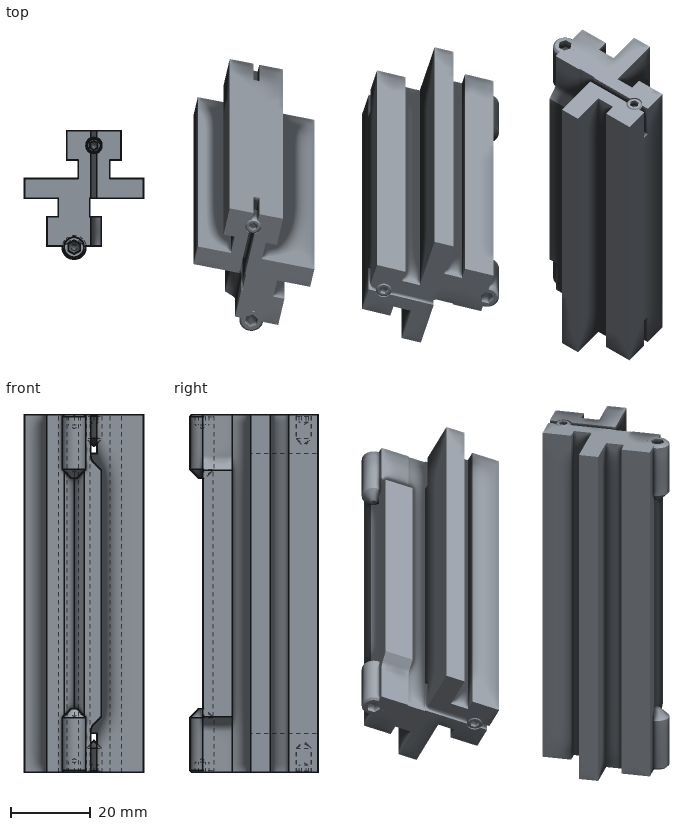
import cadquery as cq
import math

length = 90.0
half_length = length / 2
plate_width = 30.0
plate_thickness = 5.0
rib_offset = 2.5
neck_width = 8.0
neck_height = 4.6
head_width = 13.7
head_thickness = 7.4
plate_face = plate_thickness / 2
head_inner = plate_face + neck_height
head_outer = head_inner + head_thickness

slit_width = 1.5
slit_depth = 9.8
slit_wall = rib_offset - slit_width / 2

relief_depth = 14.0
relief_corner_radius = 2.5
front_head_side = head_width / 2 - rib_offset

groove_depth = 2.5

large_screw = {"diameter": 6.0, "length": 16.0, "tip": 1.5, "chamfer": 0.5, "key": 3.0, "socket": 3.5}
small_screw = {"diameter": 4.0, "length": 8.0, "tip": 0.0, "chamfer": 0.4, "key": 2.0, "socket": 2.5}
socket_point_angle = 120.0
large_screw_stand_off = 0.3
small_screw_inset = 3.7
large_screw_x = -rib_offset
large_screw_y = -head_outer - large_screw_stand_off
small_screw_x = rib_offset
small_screw_y = head_outer - small_screw_inset


def at_both_ends(shape):
    """Return the shape made for the upper end, and its mirror image at the lower end."""
    return [shape, shape.mirror("XY")]


def block(width, x_center, y_start, y_end):
    """Full-length bar of the rail section."""
    return (
        cq.Workplane("XY")
        .center(x_center, (y_start + y_end) / 2)
        .rect(width, abs(y_end - y_start))
        .extrude(half_length, both=True)
    )


def make_relief():
    """Clearance in the front head: flat wall, rounded corner and 45 degree run-out."""
    half_turn = math.radians(45) / 2
    run_out_z = half_length - relief_depth
    corner_z = run_out_z + (front_head_side - slit_wall)
    corner_setback = relief_corner_radius * math.tan(half_turn)
    slope_setback = corner_setback * math.cos(2 * half_turn)
    arc_center_x = slit_wall + relief_corner_radius
    arc_start_z = corner_z + corner_setback
    arc_mid = (
        arc_center_x - relief_corner_radius * math.cos(half_turn),
        arc_start_z - relief_corner_radius * math.sin(half_turn),
    )
    arc_end = (slit_wall + slope_setback, corner_z - slope_setback)
    return (
        cq.Workplane("XZ", origin=(0, -head_inner, 0))
        .moveTo(slit_wall, half_length)
        .lineTo(slit_wall, arc_start_z)
        .threePointArc(arc_mid, arc_end)
        .lineTo(front_head_side, run_out_z)
        .lineTo(front_head_side, half_length)
        .close()
        .extrude(head_thickness)
    )


def make_slit():
    return (
        cq.Workplane("XY", origin=(rib_offset, (head_outer - plate_face) / 2, half_length - slit_depth))
        .rect(slit_width, head_outer + plate_face)
        .extrude(slit_depth)
    )


def make_groove():
    return (
        cq.Workplane("XY", origin=(-rib_offset, -head_outer, -half_length))
        .polyline([(-groove_depth, 0), (0, groove_depth), (groove_depth, 0)])
        .close()
        .extrude(length)
    )


def screw_shape(screw, x, y, chamfer):
    """Screw body flush with the upper end, its 45 degree cone point facing down."""
    radius = screw["diameter"] / 2
    tip_radius = screw["tip"] / 2
    tip_z = -screw["length"]
    outline = [(0, 0), (radius - chamfer, 0)]
    if chamfer > 0:
        outline.append((radius, -chamfer))
    outline.append((radius, tip_z + radius - tip_radius))
    if tip_radius > 0:
        outline.append((tip_radius, tip_z))
    outline.append((0, tip_z))
    return (
        cq.Workplane("YZ", origin=(x, y, half_length))
        .polyline(outline)
        .close()
        .revolve(360, (0, 0), (0, 1))
    )


def make_socket(screw, x, y):
    """Hexagon socket with a conical floor."""
    corner_radius = screw["key"] / math.sqrt(3)
    cone_height = corner_radius / math.tan(math.radians(socket_point_angle / 2))
    depth = screw["socket"]
    hexagon = (
        cq.Workplane("XY", origin=(x, y, half_length))
        .transformed(rotate=(0, 0, 90))
        .polygon(6, 2 * corner_radius)
        .extrude(-depth)
    )
    drill = (
        cq.Workplane("XZ", origin=(x, y, half_length))
        .polyline([(0, 0), (corner_radius, 0), (corner_radius, cone_height - depth), (0, -depth)])
        .close()
        .revolve(360, (0, 0), (0, 1))
    )
    return hexagon.intersect(drill)


def make_set_screws(screw, x, y):
    body = screw_shape(screw, x, y, screw["chamfer"])
    return at_both_ends(body.cut(make_socket(screw, x, y)))


def make_rail():
    rail = block(plate_width, 0, -plate_face, plate_face)
    for side in (-1, 1):
        x = side * rib_offset
        rail = rail.union(block(neck_width, x, side * plate_face, side * head_inner))
        rail = rail.union(block(head_width, x, side * head_inner, side * head_outer))
    rail = rail.cut(make_groove())
    end_cuts = [
        make_relief(),
        make_slit(),
        screw_shape(large_screw, large_screw_x, large_screw_y, large_screw["chamfer"]),
        screw_shape(small_screw, small_screw_x, small_screw_y, 0),
    ]
    for end_cut in end_cuts:
        for cutter in at_both_ends(end_cut):
            rail = rail.cut(cutter)
    return rail


rail = make_rail()
large_set_screws = make_set_screws(large_screw, large_screw_x, large_screw_y)
small_set_screws = make_set_screws(small_screw, small_screw_x, small_screw_y)

result = cq.Compound.makeCompound(
    [rail.val()] + [screw.val() for screw in large_set_screws + small_set_screws]
)